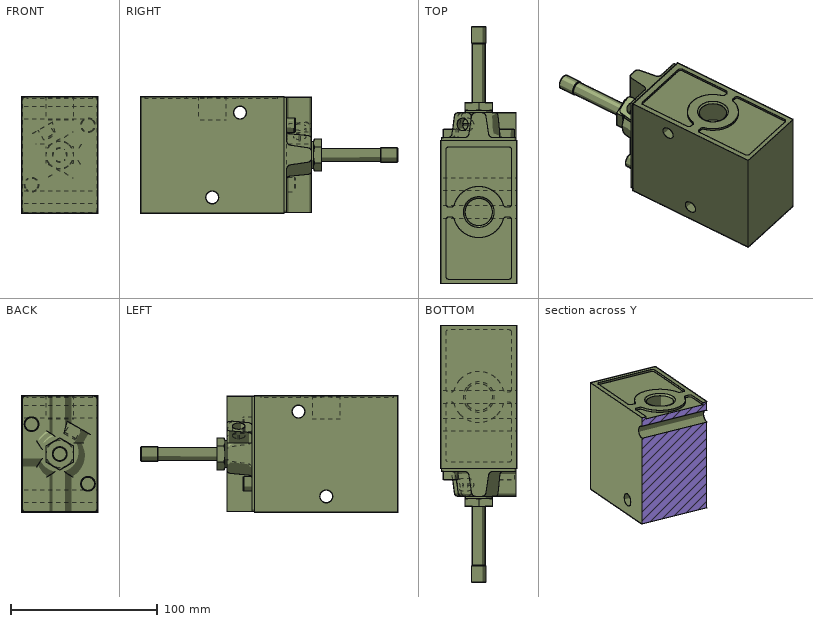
import cadquery as cq
import math


body_width = 52.0
body_length = 98.0
body_height = 80.0
overall_length = 176.0

port_y = 49.0
port_diameter = 18.63
port_mouth_diameter = 21.0
port_depth = 16.0
port_rim_radius = 17.5
recess_depth = 1.5
recess_half_width = 22.5
recess_front_y = 3.0
recess_back_y = 93.5
recess_bridge_width = 6.8
recess_corner_radius = 2.0

mounting_hole_diameter = 8.6
mounting_hole_offset_z = 29.0
upper_mounting_hole_y = 68.0
lower_mounting_hole_y = port_y

plate_inset = 0.5
plate_thickness = 1.9
plate_corner_radius = 2.0

head_height = 17.0
draft_angle = 8.5
head_top_radius = 2.6
head_foot_radius = 3.1
hub_base_radius = 16.3
rib_base_half_width = 7.1
arm_base_half_width = 8.8
arm_length = 22.0
arm_angle = 120.0

arm_hole_diameter = 8.6
arm_hole_height = 9.0
arm_hole_depth = 7.4
driver_slot_width = 1.1
driver_slot_depth = 1.0

screw_diameter = 10.0
screw_height = 5.9
screw_chamfer = 0.5
screw_offset_x = 19.3
screw_offset_z = 20.4

collar_diameter = 18.63
collar_height = 1.4
nut_across_flats = 19.0
nut_height = 5.5
nut_chamfer_height = 0.7
rod_diameter = 9.0
cap_diameter = 10.0
cap_length = 12.0
cap_chamfer = 0.5

plate_width = body_width - 2 * plate_inset
plate_height = body_height - 2 * plate_inset
plate_top_y = body_length + plate_thickness
head_top_y = plate_top_y + head_height
nut_start_y = head_top_y + collar_height
nut_end_y = nut_start_y + nut_height
cap_start_y = overall_length - cap_length


def cylinder_y(diameter, start_y, end_y, x=0.0, z=0.0):
    """Cylinder along +Y between two Y positions."""
    base = cq.Vector(x, start_y, z)
    solid = cq.Solid.makeCylinder(diameter / 2, end_y - start_y, base, cq.Vector(0, 1, 0))
    return cq.Workplane(obj=solid)


def make_body():
    body = cq.Workplane("XY").box(body_width, body_length, body_height)
    return body.translate((0, body_length / 2, 0))


def make_recesses():
    """Two shallow recesses, kept apart by a bridge and a round rim about the port."""
    recesses = cq.Workplane("XY")
    rim = cq.Workplane("XY").center(0, port_y).circle(port_rim_radius).extrude(recess_depth)
    bridge_front_y = port_y - recess_bridge_width / 2
    bridge_back_y = port_y + recess_bridge_width / 2
    for start_y, end_y in ((recess_front_y, bridge_front_y), (bridge_back_y, recess_back_y)):
        recess = (
            cq.Workplane("XY")
            .center(0, (start_y + end_y) / 2)
            .rect(2 * recess_half_width, end_y - start_y)
            .extrude(recess_depth)
            .cut(rim)
            .edges("|Z")
            .fillet(recess_corner_radius)
        )
        recesses = recesses.add(recess)
    return recesses.combine().translate((0, 0, body_height / 2 - recess_depth))


def make_port():
    """Blind bore with a 45 degree lead-in."""
    mouth_radius = port_mouth_diameter / 2
    bore_radius = port_diameter / 2
    lead_in = mouth_radius - bore_radius
    return (
        cq.Workplane("XZ")
        .moveTo(0, 0)
        .lineTo(mouth_radius, 0)
        .lineTo(bore_radius, -lead_in)
        .lineTo(bore_radius, -port_depth)
        .lineTo(0, -port_depth)
        .close()
        .revolve(360, (0, 0), (0, 1))
        .translate((0, port_y, body_height / 2))
    )


def make_mounting_holes():
    return (
        cq.Workplane("YZ", origin=(-body_width / 2, 0, 0))
        .pushPoints([
            (upper_mounting_hole_y, mounting_hole_offset_z),
            (lower_mounting_hole_y, -mounting_hole_offset_z),
        ])
        .circle(mounting_hole_diameter / 2)
        .extrude(body_width)
    )


def make_plate():
    return (
        cq.Workplane("XY")
        .box(plate_width, plate_thickness, plate_height)
        .edges("|Y")
        .fillet(plate_corner_radius)
        .translate((0, body_length + plate_thickness / 2, 0))
    )


def head_side(base_half_width):
    """Six points down one drafted side: start, middle and end of the shoulder arc, then of the foot arc."""
    draft = math.radians(draft_angle)
    bisector = (math.pi / 2 + draft) / 2
    tangent_ratio = math.tan((math.pi / 2 - draft) / 2)
    top_half_width = base_half_width - head_height * math.tan(draft)
    shoulder_x = top_half_width - head_top_radius * tangent_ratio
    shoulder_y = head_height - head_top_radius
    foot_x = base_half_width + head_foot_radius * tangent_ratio

    def on_shoulder(angle):
        return (shoulder_x + head_top_radius * math.cos(angle), shoulder_y + head_top_radius * math.sin(angle))

    def on_foot(angle):
        return (foot_x - head_foot_radius * math.cos(angle), head_foot_radius * (1 - math.sin(angle)))

    shoulder_arc = [on_shoulder(math.pi / 2), on_shoulder(bisector), on_shoulder(draft)]
    foot_arc = [on_foot(draft), on_foot(bisector), on_foot(math.pi / 2)]
    return shoulder_arc + foot_arc


def rib_plane(angle, distance=0.0, height=0.0):
    """Plane facing outward along a rib: local x runs across the rib, local y along +Y."""
    radians = math.radians(angle)
    outward = cq.Vector(math.cos(radians), 0, math.sin(radians))
    across = cq.Vector(0, 1, 0).cross(outward)
    origin = outward * distance + cq.Vector(0, plate_top_y + height, 0)
    return cq.Workplane(cq.Plane(origin, across, outward))


def make_rib(angle, length, base_half_width):
    side = head_side(base_half_width)
    other_side = [(-x, y) for x, y in reversed(side)]
    return (
        rib_plane(angle)
        .moveTo(*side[0])
        .threePointArc(side[1], side[2])
        .lineTo(*side[3])
        .threePointArc(side[4], side[5])
        .lineTo(*other_side[0])
        .threePointArc(other_side[1], other_side[2])
        .lineTo(*other_side[3])
        .threePointArc(other_side[4], other_side[5])
        .close()
        .extrude(length)
    )


def make_hub():
    side = head_side(hub_base_radius)
    return (
        cq.Workplane("XY", origin=(0, plate_top_y, 0))
        .lineTo(0, head_height)
        .lineTo(*side[0])
        .threePointArc(side[1], side[2])
        .lineTo(*side[3])
        .threePointArc(side[4], side[5])
        .close()
        .revolve(360, (0, 0), (0, 1))
    )


def make_arm_hole():
    """Blind hole in the slanted arm; the screw slot runs across its floor, along the arm's width."""
    mouth = rib_plane(arm_angle, arm_length, arm_hole_height)
    hole = mouth.circle(arm_hole_diameter / 2).extrude(-arm_hole_depth)
    slot = (
        rib_plane(arm_angle, arm_length - arm_hole_depth, arm_hole_height)
        .rect(arm_hole_diameter, driver_slot_width)
        .extrude(-driver_slot_depth)
    )
    slot_limit = mouth.circle(arm_hole_diameter / 2).extrude(-arm_hole_depth - driver_slot_depth)
    return hole.union(slot.intersect(slot_limit))


def make_head():
    head = make_hub()
    head = head.union(make_rib(0, plate_width / 2, rib_base_half_width))
    for angle in (90, -90):
        head = head.union(make_rib(angle, plate_height / 2, rib_base_half_width))
    head = head.union(make_rib(arm_angle, arm_length, arm_base_half_width))
    return head.cut(make_arm_hole())


def make_cover_screw(x, z):
    screw = cylinder_y(screw_diameter, plate_top_y, plate_top_y + screw_height, x, z)
    return screw.faces(">Y").chamfer(screw_chamfer)


def make_nut():
    """Hexagon with corners toward +Z and -Z, its corners bevelled on the side facing the head."""
    across_corners = nut_across_flats / math.cos(math.pi / 6)
    corner_radius = across_corners / 2
    flat_radius = nut_across_flats / 2
    hexagon = (
        cq.Workplane("XZ", origin=(0, nut_end_y, 0))
        .polygon(6, across_corners)
        .extrude(nut_height)
        .rotate((0, 0, 0), (0, 1, 0), 30)
    )
    bevelled_blank = (
        cq.Workplane("XY", origin=(0, nut_start_y, 0))
        .lineTo(flat_radius, 0)
        .lineTo(corner_radius, nut_chamfer_height)
        .lineTo(corner_radius, nut_height)
        .lineTo(0, nut_height)
        .close()
        .revolve(360, (0, 0), (0, 1))
    )
    return hexagon.intersect(bevelled_blank)


def make_stem():
    collar = cylinder_y(collar_diameter, head_top_y, nut_start_y)
    rod = cylinder_y(rod_diameter, nut_end_y, cap_start_y)
    cap = cylinder_y(cap_diameter, cap_start_y, overall_length).edges("%CIRCLE").chamfer(cap_chamfer)
    return collar.union(make_nut()).union(rod).union(cap)


body = make_body().cut(make_recesses()).cut(make_port()).cut(make_mounting_holes())
result = body.union(make_plate()).union(make_head()).union(make_stem())
for corner in (1, -1):
    result = result.union(make_cover_screw(corner * screw_offset_x, corner * screw_offset_z))